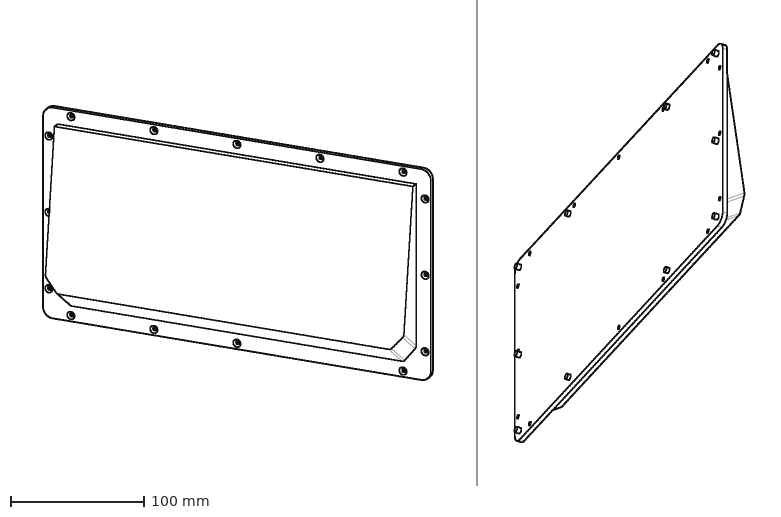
import cadquery as cq

plate_width = 321.2
plate_height = 169.3
plate_thickness = 4.0
corner_radius = 8.0

cover_side_margin = 12.2
cover_end_margin = 12.5
cover_top_depth = 5.8
cover_bottom_depth = 23.5
cover_bottom_rise = 17.7
cover_corner_chamfer = 10.3
cover_corner_blend = 3.0

hole_inset = 4.8
hole_diameter = 3.0
countersink_diameter = 6.0
countersink_angle = 90.0
row_pitch = 68.7
column_pitch = 61.5

pin_diameter = 4.5
outer_pin_length = 3.5
inner_pin_length = 2.5
middle_pin_drop = 5.5

pin_x = plate_width / 2 - corner_radius
pin_z = plate_height / 2 - corner_radius


def make_plate():
    blank = cq.Workplane("XZ").rect(plate_width, plate_height).extrude(-plate_thickness)
    return blank.edges("|Y").fillet(corner_radius)


def make_cover():
    half_width = plate_width / 2 - cover_side_margin
    top = plate_height / 2 - cover_end_margin
    bottom = -top
    side_profile = [
        (0, top),
        (-cover_top_depth, top),
        (-cover_bottom_depth, bottom + cover_bottom_rise),
        (0, bottom),
    ]
    wedge = cq.Workplane("YZ").polyline(side_profile).close().extrude(half_width, both=True)

    slope = cq.Vector(0, -cover_bottom_depth, cover_bottom_rise)
    along_slope = cq.selectors.ParallelDirSelector(slope)
    beveled = wedge.edges(along_slope).chamfer(cover_corner_chamfer)
    return beveled.edges(along_slope).fillet(cover_corner_blend)


def hole_positions():
    row_z = plate_height / 2 - hole_inset
    column_x = plate_width / 2 - hole_inset
    top_row = [(step * row_pitch, row_z) for step in (-2, -1, 0, 1, 2)]
    bottom_row = [(step * row_pitch, -row_z) for step in (-2, -1, 0, 2)]
    columns = [(side * column_x, step * column_pitch) for side in (-1, 1) for step in (-1, 0, 1)]
    return top_row + bottom_row + columns


def drill_holes(plate):
    front = plate.faces("<Y").workplane(origin=(0, 0, 0))
    return front.pushPoints(hole_positions()).cskHole(
        hole_diameter, countersink_diameter, countersink_angle
    )


def make_pins(positions, length):
    back = cq.Workplane("XZ", origin=(0, plate_thickness, 0))
    return back.pushPoints(positions).circle(pin_diameter / 2).extrude(-length)


outer_pins = [(side * pin_x, z) for side in (-1, 1) for z in (-pin_z, -middle_pin_drop, pin_z)]
inner_pins = [(side * pin_x / 2, z) for side in (-1, 1) for z in (-pin_z, pin_z)]

result = (
    drill_holes(make_plate())
    .union(make_cover())
    .union(make_pins(outer_pins, outer_pin_length))
    .union(make_pins(inner_pins, inner_pin_length))
)